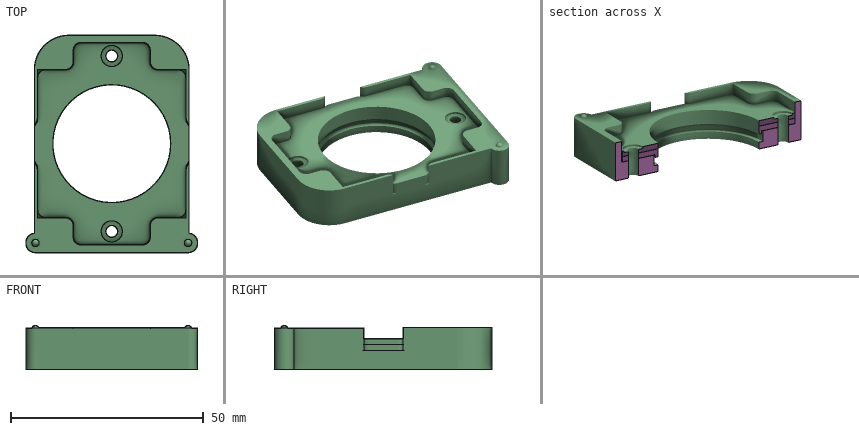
import cadquery as cq
import math

body_width = 40.2
body_length = 56.45
rear_y = 28.15
rear_corner_radius = 9.0
front_height = 10.75
rear_height = 10.95
lug_radius = 2.5
lug_length = 5.1
lug_span = 44.6
total_height = 11.45
dome_radius = 1.0

ledge_height = 2.0
pocket_floor = 5.0
lower_plate_thickness = 1.5
upper_plate_thickness = 1.5
collar_depth = 0.9

plate_width = 38.4
plate_length = 38.3
end_tab_width = 19.8
end_tab_span = 52.3
side_tab_span = body_width
side_tab_width = 7.8
outline_radius = 2.0
pocket_clearance = 0.1
side_opening = 10.2

bore_diameter = 30.5
collar_diameter = 32.5
wide_bore_diameter = 33.0
screw_hole_diameter = 3.0
screw_recess_diameter = 5.5
screw_recess_depth = 0.5
screw_spacing = 45.5

lower_plate_top = pocket_floor + lower_plate_thickness
front_y = rear_y - body_length
lug_x = lug_span / 2 - lug_radius
lug_y = front_y + lug_length / 2
screw_points = [(0, -screw_spacing / 2), (0, screw_spacing / 2)]


def block(width, length, bottom, top):
    """Box centred on the Z axis between two heights."""
    return (
        cq.Workplane("XY").workplane(offset=bottom)
        .rect(width, length).extrude(top - bottom)
    )


def discs(points, diameter, bottom, top):
    """Upright cylinders at the given points between two heights."""
    return (
        cq.Workplane("XY").workplane(offset=bottom)
        .pushPoints(points).circle(diameter / 2).extrude(top - bottom)
    )


def side_tabs(bottom, top):
    """Shallow tabs on both plate sides, each blended into the edge by two opposite arcs."""
    root_x = plate_width / 2
    tip_x = side_tab_span / 2
    rise = tip_x - root_x
    turn = math.acos(1 - rise / 2 / outline_radius)
    half_turn_rise = outline_radius * (1 - math.cos(turn / 2))
    half_turn_run = outline_radius * math.sin(turn / 2)
    run = outline_radius * math.sin(turn)
    tip_y = side_tab_width / 2
    middle = (root_x + rise / 2, tip_y + run)
    root = (root_x, tip_y + 2 * run)
    near_tip = (tip_x - half_turn_rise, tip_y + half_turn_run)
    near_root = (root_x + half_turn_rise, root[1] - half_turn_run)
    half_tab = (
        cq.Workplane("XY").workplane(offset=bottom)
        .moveTo(0, 0).lineTo(tip_x, 0).lineTo(tip_x, tip_y)
        .threePointArc(near_tip, middle)
        .threePointArc(near_root, root)
        .lineTo(0, root[1]).close()
        .extrude(top - bottom)
    )
    one_side = half_tab.union(half_tab.mirror("XZ"))
    return one_side.union(one_side.mirror("YZ"))


def cross_block(width, length, tab_width, tab_span, bottom, top):
    """Rectangle with an end tab front and rear; tab tips and roots are rounded, main corners sharp."""
    end_tabs = block(tab_width, tab_span, bottom, top).edges("|Z").fillet(outline_radius)
    cross = block(width, length, bottom, top).union(end_tabs)
    around_tab_roots = cq.selectors.BoxSelector(
        (-tab_width / 2 - pocket_clearance, -length / 2 - pocket_clearance, bottom),
        (tab_width / 2 + pocket_clearance, length / 2 + pocket_clearance, top),
    )
    return cross.edges("|Z").edges(around_tab_roots).fillet(outline_radius)


def plate_blank(bottom, top):
    """Full plate outline with its bore and screw holes."""
    cross = cross_block(plate_width, plate_length, end_tab_width, end_tab_span, bottom, top)
    plate = cross.edges("|Z and (<X or >X)").fillet(outline_radius)
    plate = plate.union(side_tabs(bottom, top))
    plate = plate.cut(discs([(0, 0)], bore_diameter, bottom, top))
    return plate.cut(discs(screw_points, screw_hole_diameter, bottom, top))


def make_upper_plate():
    top = lower_plate_top + upper_plate_thickness
    recesses = discs(screw_points, screw_recess_diameter, top - screw_recess_depth, top)
    return plate_blank(lower_plate_top, top).cut(recesses)


def make_lower_plate():
    collar_bottom = pocket_floor - collar_depth
    collar = discs([(0, 0)], collar_diameter, collar_bottom, lower_plate_top)
    collar = collar.cut(discs([(0, 0)], bore_diameter, collar_bottom, lower_plate_top))
    return plate_blank(pocket_floor, lower_plate_top).union(collar)


def make_shell():
    """Outer housing: rounded rear corners, stepped top, front lugs with locating domes."""
    rear_half = block(body_width, rear_y, 0, rear_height).translate((0, rear_y / 2, 0))
    rear_half = rear_half.edges("|Z and >Y").fillet(rear_corner_radius)
    front_half = block(body_width, -lug_y, 0, front_height).translate((0, lug_y / 2, 0))
    lug_bar = block(lug_span, lug_length, 0, front_height).translate((0, lug_y, 0))
    lug_bar = lug_bar.edges("|Z").fillet(lug_radius)
    shell = rear_half.union(front_half).union(lug_bar)
    domes = (
        cq.Workplane("XY").workplane(offset=total_height - dome_radius)
        .pushPoints([(-lug_x, lug_y), (lug_x, lug_y)]).sphere(dome_radius)
    )
    return shell.union(domes)


def make_pocket():
    """Room for both plates, breaking out through the middle of each side wall."""
    pocket_width = plate_width + 2 * pocket_clearance
    pocket = cross_block(
        pocket_width,
        plate_length + 2 * pocket_clearance,
        end_tab_width + 2 * pocket_clearance,
        end_tab_span + 2 * pocket_clearance,
        pocket_floor,
        rear_height,
    )
    wall = (body_width - pocket_width) / 2
    flare_run = math.sqrt(outline_radius**2 - (outline_radius - wall) ** 2)
    flare_y = side_opening / 2 + flare_run
    flare_x = pocket_width / 2 + outline_radius
    openings = block(body_width, 2 * flare_y, pocket_floor, rear_height)
    flare_centers = [(sx * flare_x, sy * flare_y) for sx in (-1, 1) for sy in (-1, 1)]
    openings = openings.cut(discs(flare_centers, 2 * outline_radius, pocket_floor, rear_height))
    return pocket.union(openings)


def make_housing():
    housing = make_shell().cut(make_pocket())
    housing = housing.cut(discs([(0, 0)], bore_diameter, 0, ledge_height))
    housing = housing.cut(discs([(0, 0)], wide_bore_diameter, ledge_height, pocket_floor))
    return housing.cut(discs(screw_points, screw_hole_diameter, 0, pocket_floor))


housing = make_housing()
lower_plate = make_lower_plate()
upper_plate = make_upper_plate()

result = cq.Compound.makeCompound([housing.val(), lower_plate.val(), upper_plate.val()])